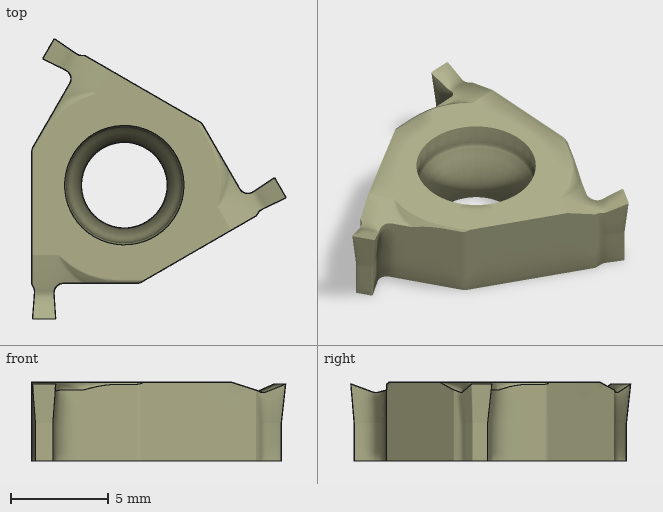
import cadquery as cq
import math

TEETH = 3
TOOTH_STEP = 360 / TEETH
HEIGHT = 4.07
LONG_SIDE_DISTANCE = 4.7625
TOOTH_SIDE_DISTANCE = 5.05
BODY_CORNER_RADIUS = 0.5

TIP_Z = 3.98
RELIEF_START_Z = 1.95
TIP_Y = -6.89
TIP_LEFT_X = -4.73
TIP_RIGHT_X = -3.52
LEFT_FLANK_TAPER = math.radians(3)
RIGHT_FLANK_TAPER = math.radians(2.3)
SIDE_RELIEF = math.radians(4.2)
TIP_RELIEF = math.radians(4.8)
NECK_CHAMFER_Y = -5.09
NECK_CHAMFER_ANGLE = math.radians(28)
CHAMFER_CORNER_RADIUS = 0.1
NECK_RADIUS = 0.5
TIP_CORNER_RADIUS = 0.07
ROOT_RADIUS = 0.48
ROOT_INNER_Y = -4.5
ROOT_INNER_X = -2.6

GROOVE_START_Y = -3.605
GROOVE_FALL = math.radians(15.6)
GROOVE_RISE = math.radians(20.2)
GROOVE_RADIUS = 0.5
GROOVE_EDGE_RADIUS = 0.16
GROOVE_WALL_RADIUS = 0.2
GROOVE_END_X = 1.5
CUT_MARGIN = 1.0

PAD_CENTRE = (-0.3, -0.67)
PAD_RADIUS = 4.2
PAD_EDGE_RADIUS = 0.12
PAD_SLOPE = math.radians(40)
PAD_SKIRT_DEPTH = 1.2

BORE_DIAMETER = 4.4
BORE_RADIUS = BORE_DIAMETER / 2
MOUTH_RADIUS = 3.07
MOUTH_END = (2.98, 1.02)
THROAT_START = (2.88, 1.25)
THROAT_END_DEPTH = 3.64


def meet(point_a, angle_a, point_b, angle_b):
    """Intersection of two lines, each given by a point and a direction angle."""
    ax, ay = point_a
    bx, by = point_b
    along = (bx - ax) * math.sin(angle_b) - (by - ay) * math.cos(angle_b)
    along /= math.sin(angle_b - angle_a)
    return ax + along * math.cos(angle_a), ay + along * math.sin(angle_a)


def rounded_outline(sketch, corners):
    """Closed outline through (point, radius) corners; the first corner is sharp."""
    sketch = sketch.moveTo(*corners[0][0])
    for index in range(1, len(corners)):
        point, radius = corners[index]
        if radius == 0:
            sketch = sketch.lineTo(*point)
            continue
        corner = cq.Vector(*point)
        back = (cq.Vector(*corners[index - 1][0]) - corner).normalized()
        ahead = (cq.Vector(*corners[(index + 1) % len(corners)][0]) - corner).normalized()
        half_angle = back.getAngle(ahead) / 2
        tangent_length = radius / math.tan(half_angle)
        middle_length = radius / math.sin(half_angle) - radius
        start = corner + back * tangent_length
        middle = corner + (back + ahead).normalized() * middle_length
        end = corner + ahead * tangent_length
        sketch = sketch.lineTo(start.x, start.y)
        sketch = sketch.threePointArc((middle.x, middle.y), (end.x, end.y))
    return sketch.close()


def body():
    """Six-sided prism with its corners rounded where a tooth side ends."""
    third = math.radians(TOOTH_STEP)
    tooth_side = (0, -TOOTH_SIDE_DISTANCE)
    start = (-LONG_SIDE_DISTANCE, -TOOTH_SIDE_DISTANCE)
    next_side_normal = math.pi + third
    next_side = (
        LONG_SIDE_DISTANCE * math.cos(next_side_normal),
        LONG_SIDE_DISTANCE * math.sin(next_side_normal),
    )
    end = meet(tooth_side, 0, next_side, next_side_normal + math.pi / 2)
    corners = []
    for index in range(TEETH):
        turn = index * third
        for (x, y), radius in ((start, 0), (end, BODY_CORNER_RADIUS)):
            turned_x = x * math.cos(turn) - y * math.sin(turn)
            turned_y = x * math.sin(turn) + y * math.cos(turn)
            corners.append(((turned_x, turned_y), radius))
    return rounded_outline(cq.Workplane("XY"), corners).extrude(HEIGHT)


def tooth_section(z):
    """Plan of one tooth at height z, drawn in by the relief below the tip."""
    drop = TIP_Z - z
    side_inset = drop * math.tan(SIDE_RELIEF)
    tip_y = TIP_Y + drop * math.tan(TIP_RELIEF)
    left_point = (TIP_LEFT_X + side_inset, TIP_Y)
    right_point = (TIP_RIGHT_X - side_inset, TIP_Y)
    left_angle = math.pi / 2 - LEFT_FLANK_TAPER
    right_angle = math.pi / 2 + RIGHT_FLANK_TAPER
    chamfer_start = (-LONG_SIDE_DISTANCE, NECK_CHAMFER_Y)
    neck = meet(chamfer_start, NECK_CHAMFER_ANGLE - math.pi / 2, left_point, left_angle)
    tip_left = meet((0, tip_y), 0, left_point, left_angle)
    tip_right = meet((0, tip_y), 0, right_point, right_angle)
    root = meet((0, -TOOTH_SIDE_DISTANCE), 0, right_point, right_angle)
    return [
        ((-LONG_SIDE_DISTANCE, ROOT_INNER_Y), 0),
        (chamfer_start, CHAMFER_CORNER_RADIUS),
        (neck, NECK_RADIUS),
        (tip_left, TIP_CORNER_RADIUS),
        (tip_right, TIP_CORNER_RADIUS),
        (root, ROOT_RADIUS),
        ((ROOT_INNER_X, -TOOTH_SIDE_DISTANCE), 0),
        ((ROOT_INNER_X, ROOT_INNER_Y), 0),
    ]


def tooth():
    """Straight shank below, relieved cutting part above."""
    shank_section = tooth_section(RELIEF_START_Z)
    shank = rounded_outline(cq.Workplane("XY"), shank_section).extrude(RELIEF_START_Z)
    sketch = rounded_outline(cq.Workplane("XY", origin=(0, 0, RELIEF_START_Z)), shank_section)
    sketch = sketch.workplane(offset=HEIGHT - RELIEF_START_Z)
    cutting_part = rounded_outline(sketch, tooth_section(HEIGHT)).loft(ruled=True)
    return shank.union(cutting_part)


def corner_cutter():
    """Block that clears the sharp corner of the body to make room for the tooth."""
    return (
        cq.Workplane("XY")
        .rect(2 * (LONG_SIDE_DISTANCE + ROOT_INNER_X), 2 * (TOOTH_SIDE_DISTANCE + ROOT_INNER_Y))
        .extrude(HEIGHT)
        .translate((-LONG_SIDE_DISTANCE, -TOOTH_SIDE_DISTANCE, 0))
    )


def groove():
    """V-shaped cut across one tooth with a rounded edge and valley."""
    start = (GROOVE_START_Y, HEIGHT)
    valley = meet(start, GROOVE_FALL, (TIP_Y, TIP_Z), -GROOVE_RISE)
    end = (TIP_Y - CUT_MARGIN, TIP_Z + CUT_MARGIN * math.tan(GROOVE_RISE))
    inner_y = GROOVE_START_Y + CUT_MARGIN
    corners = [
        ((inner_y, HEIGHT), 0),
        (start, GROOVE_EDGE_RADIUS),
        (valley, GROOVE_RADIUS),
        (end, 0),
        ((inner_y, end[1]), 0),
    ]
    left_x = -LONG_SIDE_DISTANCE - CUT_MARGIN
    sketch = cq.Workplane("YZ", origin=(left_x, 0, 0))
    return rounded_outline(sketch, corners).extrude(GROOVE_END_X - left_x)


def pad_profile(sketch):
    """Half section of the raised top: flat, rounded edge, then a slope down to the skirt."""
    edge_length = PAD_EDGE_RADIUS * math.tan(PAD_SLOPE / 2)
    edge = (PAD_RADIUS + edge_length, 0)
    skirt = (edge[0] + PAD_SKIRT_DEPTH / math.tan(PAD_SLOPE), -PAD_SKIRT_DEPTH)
    corners = [((0, 0), 0), (edge, PAD_EDGE_RADIUS), (skirt, 0), ((0, -PAD_SKIRT_DEPTH), 0)]
    return rounded_outline(sketch, corners)


def pad():
    """Volume the groove must leave standing: a round frustum run out straight along +X."""
    origin = (*PAD_CENTRE, HEIGHT)
    plane = cq.Plane(origin=origin, xDir=(0, -1, 0), normal=(-1, 0, 0))
    frustum = pad_profile(cq.Workplane(plane)).revolve(360, (0, 0, 0), (0, 1, 0))
    straight = pad_profile(cq.Workplane(plane)).extrude(PAD_CENTRE[0] - GROOVE_END_X)
    return frustum.union(straight)


def chip_cut():
    """Groove around the pad, with a fillet where the groove floor meets the pad's slope."""
    return groove().cut(pad()).edges("%ELLIPSE").fillet(GROOVE_WALL_RADIUS)


def screw_hole():
    """Revolved cutter; the throat arc runs tangent into the bore."""
    rise = THROAT_END_DEPTH - THROAT_START[1]
    narrowing = THROAT_START[0] - BORE_RADIUS
    throat_radius = (rise**2 + narrowing**2) / (2 * narrowing)
    half_turn = math.asin(rise / throat_radius) / 2
    throat_middle = (
        BORE_RADIUS + throat_radius * (1 - math.cos(half_turn)),
        -THROAT_END_DEPTH + throat_radius * math.sin(half_turn),
    )
    return (
        cq.Workplane("XZ", origin=(0, 0, HEIGHT))
        .lineTo(MOUTH_RADIUS, 0)
        .lineTo(MOUTH_END[0], -MOUTH_END[1])
        .tangentArcPoint((THROAT_START[0], -THROAT_START[1]), relative=False)
        .threePointArc(throat_middle, (BORE_RADIUS, -THROAT_END_DEPTH))
        .lineTo(BORE_RADIUS, -HEIGHT)
        .lineTo(0, -HEIGHT)
        .close()
        .revolve(360, (0, 0, 0), (0, 1, 0))
    )


result = body()
for index in range(TEETH):
    angle = index * TOOTH_STEP
    tooth_parts = [corner_cutter(), tooth(), chip_cut()]
    corner, blade, chip_pocket = [part.rotate((0, 0, 0), (0, 0, 1), angle) for part in tooth_parts]
    result = result.cut(corner).union(blade).cut(chip_pocket)
result = result.cut(screw_hole())